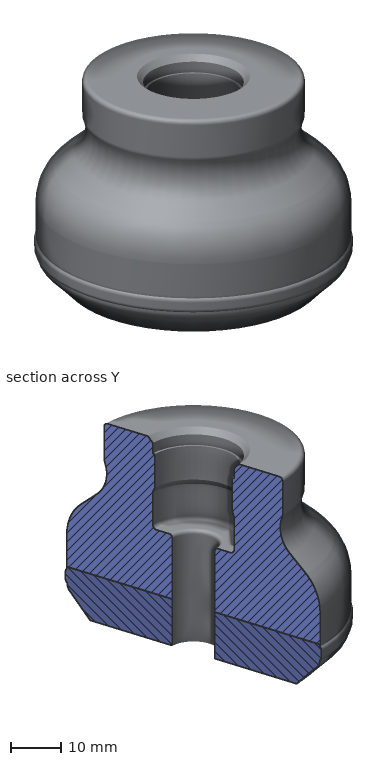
import cadquery as cq
import math


total_height = 44.4
outer_radius = 31.8
joint_z = 10.2
passage_radius = 5.2

body_radius = 31.5
collar_radius = 22.2
collar_bottom_z = 36.5
rim_fillet = 0.95
flank_angle = math.radians(50)
shoulder_round = 10.0
neck_hollow = 6.5
neck_blend = 2.0
throat_z = 33.3

mouth_chamfer = 1.2
counterbore_radius = 10.05
counterbore_depth = 3.5
lip_radius = 9.55
lip_end_depth = 10.9
lip_cone_height = 1.15
pocket_depth = 20.0
pocket_corner = 0.9
passage_round = 0.8
quarter_arc_middle = math.radians(45)

neck_radius = 31.45
neck_bottom_z = 9.8
band_top_z = 9.05
band_bottom_z = 7.5
band_round = 1.0
step_top_z = 6.95
step_bottom_z = 6.75
bevel_shoulder_radius = 31.4
bevel_round_top_z = 6.55
bevel_round = 2.0
bevel_angle = math.radians(45)
foot_chamfer_width = 0.25
foot_chamfer_height = 0.2


def on_arc(center_r, center_z, radius, angle):
    """Point (r, z) of a circle, with the angle measured from the outward radial direction."""
    return (center_r + radius * math.cos(angle), center_z + radius * math.sin(angle))


def spin(profile):
    """Revolve a closed (r, z) profile a full turn about the Z axis."""
    return profile.close().revolve(360, (0, 0, 0), (0, 1, 0))


def make_housing_blank():
    blend_angle = math.asin((collar_bottom_z - throat_z) / (neck_hollow + neck_blend))
    throat_radius = collar_radius - (neck_hollow + neck_blend) * (1 - math.cos(blend_angle))
    hollow_center = (throat_radius + neck_hollow, throat_z)
    blend_center = (collar_radius - neck_blend, collar_bottom_z)
    flank_top = on_arc(*hollow_center, neck_hollow, math.pi + flank_angle)
    hollow_top = on_arc(*hollow_center, neck_hollow, math.pi - blend_angle)

    shoulder_center_r = body_radius - shoulder_round
    flank_bottom_r = shoulder_center_r + shoulder_round * math.cos(flank_angle)
    flank_bottom_z = flank_top[1] - (flank_bottom_r - flank_top[0]) / math.tan(flank_angle)
    shoulder_z = flank_bottom_z - shoulder_round * math.sin(flank_angle)
    shoulder_center = (shoulder_center_r, shoulder_z)

    profile = (
        cq.Workplane("XZ")
        .moveTo(0, joint_z)
        .lineTo(body_radius, joint_z)
        .lineTo(body_radius, shoulder_z)
        .threePointArc(
            on_arc(*shoulder_center, shoulder_round, flank_angle / 2),
            (flank_bottom_r, flank_bottom_z),
        )
        .lineTo(*flank_top)
        .threePointArc((throat_radius, throat_z), hollow_top)
        .threePointArc(
            on_arc(*blend_center, neck_blend, -blend_angle / 2),
            (collar_radius, collar_bottom_z),
        )
        .lineTo(collar_radius, total_height)
        .lineTo(0, total_height)
    )
    return spin(profile).faces(">Z").edges().fillet(rim_fillet)


def make_housing_cavity():
    pocket_z = total_height - pocket_depth
    counterbore_z = total_height - counterbore_depth
    lip_z = total_height - lip_end_depth
    corner_center = (counterbore_radius - pocket_corner, pocket_z + pocket_corner)
    round_center = (passage_radius + passage_round, pocket_z - passage_round)

    profile = (
        cq.Workplane("XZ")
        .moveTo(0, joint_z)
        .lineTo(passage_radius, joint_z)
        .lineTo(passage_radius, round_center[1])
        .threePointArc(
            on_arc(*round_center, passage_round, math.pi - quarter_arc_middle),
            (round_center[0], pocket_z),
        )
        .lineTo(corner_center[0], pocket_z)
        .threePointArc(
            on_arc(*corner_center, pocket_corner, -quarter_arc_middle),
            (counterbore_radius, corner_center[1]),
        )
        .lineTo(counterbore_radius, lip_z - lip_cone_height)
        .lineTo(lip_radius, lip_z)
        .lineTo(lip_radius, counterbore_z)
        .lineTo(counterbore_radius, counterbore_z)
        .lineTo(counterbore_radius, total_height - mouth_chamfer)
        .lineTo(counterbore_radius + mouth_chamfer, total_height)
        .lineTo(0, total_height)
    )
    return spin(profile)


def make_housing():
    return make_housing_blank().cut(make_housing_cavity())


def make_base_ring():
    bevel_center = (bevel_shoulder_radius - bevel_round, bevel_round_top_z)
    bevel_top = on_arc(*bevel_center, bevel_round, -bevel_angle)
    bevel_bottom_r = bevel_top[0] - (bevel_top[1] - foot_chamfer_height) * math.tan(bevel_angle)

    band_center_r = outer_radius - band_round
    upper_turn = math.asin((neck_bottom_z - band_top_z) / band_round)
    lower_turn = math.asin((band_bottom_z - step_top_z) / band_round)

    profile = (
        cq.Workplane("XZ")
        .moveTo(passage_radius, 0)
        .lineTo(bevel_bottom_r - foot_chamfer_width, 0)
        .lineTo(bevel_bottom_r, foot_chamfer_height)
        .lineTo(*bevel_top)
        .threePointArc(
            on_arc(*bevel_center, bevel_round, -bevel_angle / 2),
            (bevel_shoulder_radius, bevel_round_top_z),
        )
        .lineTo(bevel_shoulder_radius, step_bottom_z)
        .lineTo(*on_arc(band_center_r, band_bottom_z, band_round, -lower_turn))
        .threePointArc(
            on_arc(band_center_r, band_bottom_z, band_round, -lower_turn / 2),
            (outer_radius, band_bottom_z),
        )
        .lineTo(outer_radius, band_top_z)
        .threePointArc(
            on_arc(band_center_r, band_top_z, band_round, upper_turn / 2),
            on_arc(band_center_r, band_top_z, band_round, upper_turn),
        )
        .lineTo(neck_radius, neck_bottom_z)
        .lineTo(neck_radius, joint_z)
        .lineTo(passage_radius, joint_z)
    )
    return spin(profile)


housing = make_housing()
base_ring = make_base_ring()

result = cq.Compound.makeCompound([housing.val(), base_ring.val()])